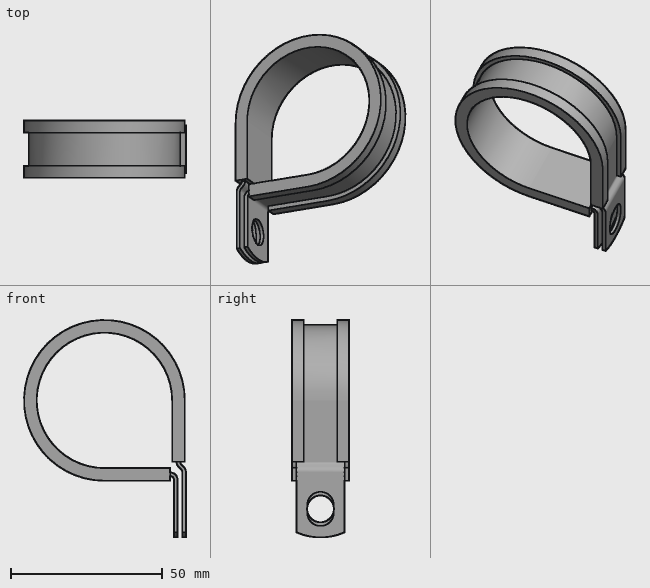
import cadquery as cq
import math


cushion_width = 18.92
loop_outer_radius = 26.5
cushion_thickness = 4.25
loop_inner_radius = loop_outer_radius - cushion_thickness
side_leg_length = 20.2
bottom_leg_length = 21.65

groove_width = 10.95
groove_depth = 1.55

strap_width = 15.85
strap_thickness = 1.25
strap_outer_radius = loop_outer_radius - groove_depth
strap_inner_radius = strap_outer_radius - strap_thickness
strap_embed = 2.0
bend_inner_radius = 1.2
bend_outer_radius = bend_inner_radius + strap_thickness

tab_bottom_z = -45.16
outer_tab_offset = 1.91
step_angle = math.radians(45)
tab_end_sagitta = 1.7
hole_diameter = 8.75
outer_slot_length = 11.25
hole_height = 9.45
tool_length = 2 * loop_outer_radius


def extrude_profile(profile, width):
    """Extrude an XZ profile symmetrically about the Y = 0 plane."""
    return profile.close().extrude(width / 2, both=True)


def loop_band(inner_radius, outer_radius, width):
    """Three-quarter ring with a straight leg tangent to each of its ends."""
    diagonal = math.sqrt(0.5)
    profile = (
        cq.Workplane("XZ")
        .moveTo(inner_radius, -side_leg_length)
        .lineTo(inner_radius, 0)
        .threePointArc((-inner_radius * diagonal, inner_radius * diagonal), (0, -inner_radius))
        .lineTo(bottom_leg_length, -inner_radius)
        .lineTo(bottom_leg_length, -outer_radius)
        .lineTo(0, -outer_radius)
        .threePointArc((-outer_radius * diagonal, outer_radius * diagonal), (outer_radius, 0))
        .lineTo(outer_radius, -side_leg_length)
    )
    return extrude_profile(profile, width)


def make_cushion():
    cushion = loop_band(loop_inner_radius, loop_outer_radius, cushion_width)
    groove = loop_band(strap_outer_radius, loop_outer_radius, groove_width)
    return cushion.cut(groove)


def make_inner_tab():
    """Strap end leaving the bottom leg and turning down through 90 degrees."""
    bend_start_x = bottom_leg_length
    bend_end_z = -strap_outer_radius - bend_inner_radius
    inside_x = bend_start_x + bend_inner_radius
    outside_x = bend_start_x + bend_outer_radius
    profile = (
        cq.Workplane("XZ")
        .moveTo(bend_start_x - strap_embed, -strap_inner_radius)
        .lineTo(bend_start_x, -strap_inner_radius)
        .tangentArcPoint((outside_x, bend_end_z), relative=False)
        .lineTo(outside_x, tab_bottom_z)
        .lineTo(inside_x, tab_bottom_z)
        .lineTo(inside_x, bend_end_z)
        .tangentArcPoint((bend_start_x, -strap_outer_radius), relative=False)
        .lineTo(bend_start_x - strap_embed, -strap_outer_radius)
    )
    return extrude_profile(profile, strap_width)


def make_outer_tab():
    """Strap end leaving the side leg and stepping outward on a sloped, straight stretch."""
    slope_run = outer_tab_offset - (bend_inner_radius + bend_outer_radius) * (1 - math.cos(step_angle))
    slope_drop = slope_run / math.tan(step_angle)
    wide_bend_run = bend_outer_radius * (1 - math.cos(step_angle))
    wide_bend_drop = bend_outer_radius * math.sin(step_angle)
    tight_bend_run = bend_inner_radius * (1 - math.cos(step_angle))
    tight_bend_drop = bend_inner_radius * math.sin(step_angle)
    start_z = -side_leg_length
    end_z = start_z - wide_bend_drop - slope_drop - tight_bend_drop
    inside_x = strap_inner_radius + outer_tab_offset
    outside_x = strap_outer_radius + outer_tab_offset
    profile = (
        cq.Workplane("XZ")
        .moveTo(strap_inner_radius, start_z + strap_embed)
        .lineTo(strap_inner_radius, start_z)
        .tangentArcPoint((wide_bend_run, -wide_bend_drop))
        .line(slope_run, -slope_drop)
        .tangentArcPoint((inside_x, end_z), relative=False)
        .lineTo(inside_x, tab_bottom_z)
        .lineTo(outside_x, tab_bottom_z)
        .lineTo(outside_x, end_z)
        .tangentArcPoint((-wide_bend_run, wide_bend_drop))
        .line(-slope_run, slope_drop)
        .tangentArcPoint((strap_outer_radius, start_z), relative=False)
        .lineTo(strap_outer_radius, start_z + strap_embed)
    )
    return extrude_profile(profile, strap_width)


def make_tab_blank():
    """Tab outline with a rounded tip, long enough in X to enclose both tabs."""
    half_width = strap_width / 2
    corner_z = tab_bottom_z + tab_end_sagitta
    return (
        cq.Workplane("YZ")
        .moveTo(-half_width, 0)
        .lineTo(-half_width, corner_z)
        .threePointArc((0, tab_bottom_z), (half_width, corner_z))
        .lineTo(half_width, 0)
        .close()
        .extrude(tool_length)
    )


def hole_workplane():
    """YZ plane centred on the shared axis of the bolt hole and the slot."""
    return cq.Workplane("YZ").center(0, tab_bottom_z + hole_height)


def make_bolt_hole():
    return hole_workplane().circle(hole_diameter / 2).extrude(tool_length)


def make_bolt_slot():
    return hole_workplane().slot2D(outer_slot_length, hole_diameter, 90).extrude(tool_length)


tab_blank = make_tab_blank()
inner_tab = make_inner_tab().intersect(tab_blank).cut(make_bolt_hole())
outer_tab = make_outer_tab().intersect(tab_blank).cut(make_bolt_slot())
result = make_cushion().union(inner_tab).union(outer_tab)